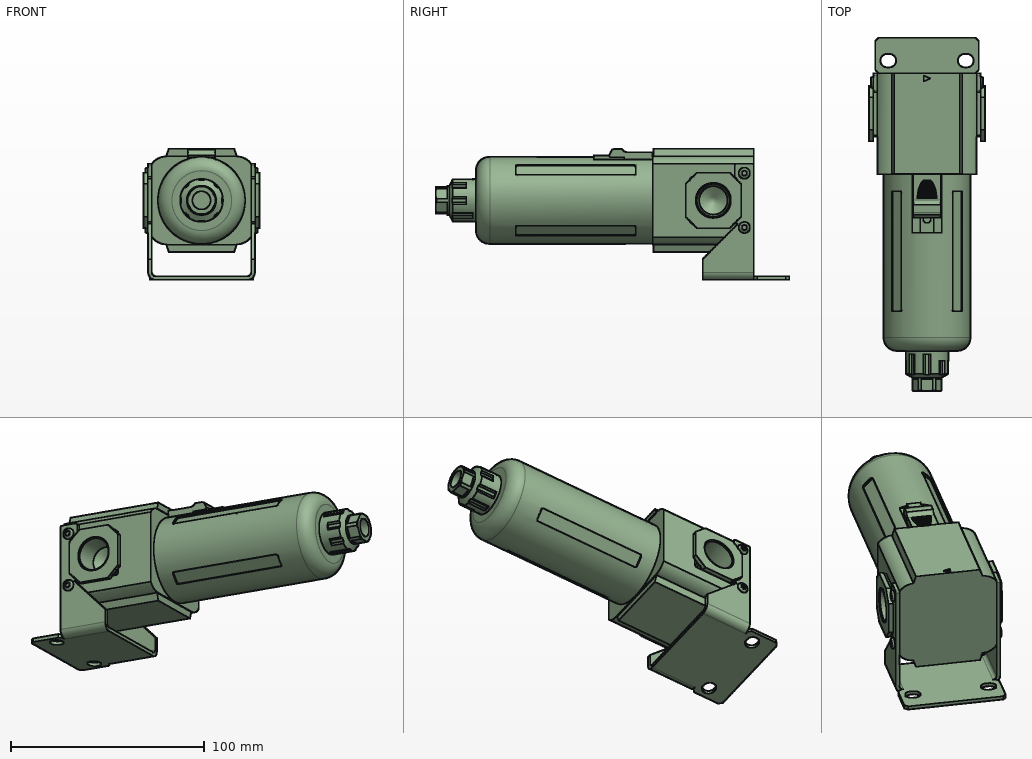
import cadquery as cq
import math


MARGIN = 1.0

HOUSING_LENGTH = 52.2
HOUSING_HALF_WIDTH = 25.6
HOUSING_HALF_HEIGHT = 22.75
SHOULDER_X = 18.0
SHOULDER_Z = 18.9
PAD_SETBACK = 0.4
PAD_HALF_HEIGHT = 26.65
PAD_ROOT_HALF_WIDTH = 18.25
PAD_TOP_HALF_WIDTH = 16.9
ARROW_DEPTH = 0.3
ARROW_HALF_WIDTH = 1.5
ARROW_LENGTH = 3.5
ARROW_Y = -2.8

PORT_Y = -20.85
PORT_FACE_X = 30.0
PORT_SIZE = 28.7
PORT_CHAMFER = 5.9
PORT_NECK_SIZE = 24.2
PORT_NECK_CHAMFER = 1.0
BORE_MOUTH_RADIUS = 9.1
BORE_RADIUS = 8.5
BORE_FLOOR_RADIUS = 7.3
BORE_DEPTH = 13.0
DRILL_CONE_DEPTH = 4.4

SHEET = 2.0
BRACKET_HALF_WIDTH = HOUSING_HALF_WIDTH + SHEET
BRACKET_BOTTOM_Z = -41.05
BRACKET_TOP_Z = 19.0
BRACKET_LENGTH = 26.4
BEND_INNER_RADIUS = 2.0
BEND_OUTER_RADIUS = BEND_INNER_RADIUS + SHEET
ARM_TOP_LENGTH = 9.9
ARM_SLOPE_START = (-8.2, -12.1)
ARM_SLOPE_END_Z = -30.3
ARM_CORNER_RADIUS = 1.0
TAB_REACH = 18.3
TAB_HALF_WIDTH = 26.75
TAB_CHAMFER = 1.7
TAB_HOLE_X = 20.0
TAB_HOLE_Y = 6.4
TAB_HOLE_LENGTH = 8.0
TAB_HOLE_WIDTH = 6.8

SCREW_Y = -4.85
SCREW_Z = 14.0
SCREW_HEAD_RADIUS = 2.9
SCREW_HEAD_HEIGHT = 1.4
SCREW_HEAD_ROUND = 1.0
SCREW_SHANK_RADIUS = 2.0
SCREW_SHANK_LENGTH = SHEET + 4.0
SOCKET_SIZE = 2.8
SOCKET_DEPTH = 0.8

BOWL_RADIUS = 22.52
BOWL_END_Y = -143.35
BOWL_END_ROUND = 7.1
WINDOW_START_Y = -60.9
WINDOW_END_Y = -122.7
WINDOW_WIDTH = 7.2
WINDOW_FLOOR = 21.5
WINDOW_CORNER = 0.8
SEAT_HALF_WIDTH = 7.5
SEAT_Z = 20.95
SEAT_END_Y = -82.4
CATCH_HALF_WIDTH = 3.6
CATCH_TOP_Z = 23.2
NOTCH_RADIUS = 2.0
NOTCH_Y = -75.3

LATCH_HALF_WIDTH = 7.0
LATCH_TOP_Z = 24.9
LATCH_STEP_Y = -66.8
LATCH_STEP_Z = 22.2
HUMP_RAMP_START_Y = -65.2
HUMP_TOP_START_Y = -68.0
HUMP_TOP_END_Y = -71.8
HUMP_TOP_Z = 26.55
HUMP_EDGE = (-73.1, 26.2)
HUMP_NOSE = (-74.7, CATCH_TOP_Z)
HUMP_HEEL_Y = -74.0
GRIP_START_Y = -54.7
GRIP_HALF_WIDTH = 5.0
GRIP_DEPTH = 0.4
GRIP_GROOVE = 0.45
GRIP_PITCH = 0.9

DRAIN_RADIUS = 11.1
DRAIN_CONE_START_Y = -155.1
DRAIN_CONE_END_Y = -157.0
NIPPLE_RADIUS = 7.6
NIPPLE_END_Y = -164.0
NIPPLE_EDGE = 0.4
NIPPLE_FLATS = 14.0
FLATS_START_Y = -158.0
DRAIN_BORE_RADIUS = 4.7
DRAIN_BORE_DEPTH = 8.0
RIB_SLOT_FLOOR = 10.4
RIB_SLOT_FLOOR_HALF_WIDTH = 0.9
RIB_SLOT_HALF_WIDTH = 2.3
LONG_SLOT_START_Y = -144.9
SHORT_SLOT_START_Y = -148.3
SLOT_ANGLES_LONG = (90, 135, 270, 315)
SLOT_ANGLES_SHORT = (0, 45, 180, 225)


def box(x0, x1, y0, y1, z0, z1):
    """Box between opposite corners."""
    return cq.Workplane("XY").box(x1 - x0, y1 - y0, z1 - z0, centered=False).translate((x0, y0, z0))


def along_x(points, x0, x1):
    """Prism from a closed (Y, Z) outline, between two X positions."""
    return cq.Workplane("YZ", origin=(x0, 0, 0)).polyline(points).close().extrude(x1 - x0)


def both_sides(body):
    """A feature together with its mirror image on the other X side."""
    return body.union(body.mirror("YZ"))


def square_plate(size, chamfer, x0, x1):
    """Square plate with cut corners, centred on the port axis and lying between two X positions."""
    return (
        cq.Workplane("YZ", origin=(x0, PORT_Y, 0))
        .rect(size, size)
        .extrude(x1 - x0)
        .edges("|X")
        .chamfer(chamfer)
    )


def screw_places():
    """Each screw as (side, Z), side being +1 or -1 along X."""
    return [(side, z) for side in (1, -1) for z in (SCREW_Z, -SCREW_Z)]


def screw_shank(side, z):
    start = cq.Vector(side * BRACKET_HALF_WIDTH, SCREW_Y, z)
    return cq.Workplane(
        cq.Solid.makeCylinder(SCREW_SHANK_RADIUS, SCREW_SHANK_LENGTH, start, cq.Vector(-side, 0, 0))
    )


def port_bore():
    """Bore with a bevelled mouth, a taper and a drilled cone at its floor, on the +X side."""
    bevel = BORE_MOUTH_RADIUS - BORE_RADIUS
    floor_x = PORT_FACE_X - BORE_DEPTH
    return (
        cq.Workplane("XY", origin=(0, PORT_Y, 0))
        .moveTo(PORT_FACE_X, 0)
        .lineTo(PORT_FACE_X, BORE_MOUTH_RADIUS)
        .lineTo(PORT_FACE_X - bevel, BORE_RADIUS)
        .lineTo(floor_x, BORE_FLOOR_RADIUS)
        .lineTo(floor_x - DRILL_CONE_DEPTH, 0)
        .close()
        .revolve(360, (0, 0, 0), (1, 0, 0))
    )


def flow_arrow():
    """Small triangle pointing to +X, sunk into the top pad."""
    return (
        cq.Workplane("XY", origin=(0, 0, PAD_HALF_HEIGHT))
        .moveTo(-ARROW_LENGTH / 2, ARROW_Y - ARROW_HALF_WIDTH)
        .lineTo(ARROW_LENGTH / 2, ARROW_Y)
        .lineTo(-ARROW_LENGTH / 2, ARROW_Y + ARROW_HALF_WIDTH)
        .close()
        .extrude(-ARROW_DEPTH)
    )


def make_housing():
    run = HOUSING_HALF_WIDTH - SHOULDER_X
    drop = HOUSING_HALF_HEIGHT - SHOULDER_Z
    radius = (run**2 + drop**2) / (2 * drop)
    half_angle = math.asin(run / radius) / 2
    mid_x = SHOULDER_X + radius * math.sin(half_angle)
    mid_z = HOUSING_HALF_HEIGHT - radius * (1 - math.cos(half_angle))

    quarter = (
        cq.Workplane("XZ")
        .lineTo(0, HOUSING_HALF_HEIGHT)
        .lineTo(SHOULDER_X, HOUSING_HALF_HEIGHT)
        .threePointArc((mid_x, mid_z), (HOUSING_HALF_WIDTH, SHOULDER_Z))
        .lineTo(HOUSING_HALF_WIDTH, 0)
        .close()
        .extrude(HOUSING_LENGTH)
    )
    half = both_sides(quarter)
    block = half.union(half.mirror("XY"))

    pad = (
        cq.Workplane("XZ")
        .moveTo(-PAD_ROOT_HALF_WIDTH, 0)
        .lineTo(-PAD_ROOT_HALF_WIDTH, HOUSING_HALF_HEIGHT)
        .lineTo(-PAD_TOP_HALF_WIDTH, PAD_HALF_HEIGHT)
        .lineTo(PAD_TOP_HALF_WIDTH, PAD_HALF_HEIGHT)
        .lineTo(PAD_ROOT_HALF_WIDTH, HOUSING_HALF_HEIGHT)
        .lineTo(PAD_ROOT_HALF_WIDTH, 0)
        .close()
        .extrude(HOUSING_LENGTH - PAD_SETBACK)
    )
    block = block.union(pad).union(pad.mirror("XY")).cut(flow_arrow())

    port = square_plate(PORT_NECK_SIZE, PORT_NECK_CHAMFER, HOUSING_HALF_WIDTH - MARGIN, BRACKET_HALF_WIDTH)
    port = port.union(square_plate(PORT_SIZE, PORT_CHAMFER, BRACKET_HALF_WIDTH, PORT_FACE_X))
    block = block.union(both_sides(port)).cut(both_sides(port_bore()))

    for place in screw_places():
        block = block.cut(screw_shank(*place))
    return block


def bracket_channel():
    """U-shaped channel: two arms and a floor joined by round bends."""
    outer = (
        box(-BRACKET_HALF_WIDTH, BRACKET_HALF_WIDTH, -BRACKET_LENGTH, 0, BRACKET_BOTTOM_Z, BRACKET_TOP_Z)
        .edges("|Y and <Z")
        .fillet(BEND_OUTER_RADIUS)
    )
    inner = (
        box(
            -HOUSING_HALF_WIDTH, HOUSING_HALF_WIDTH,
            -BRACKET_LENGTH, 0,
            BRACKET_BOTTOM_Z + SHEET, BRACKET_TOP_Z,
        )
        .edges("|Y and <Z")
        .fillet(BEND_INNER_RADIUS)
    )
    return outer.cut(inner)


def arm_outline():
    """Side shape of the arms, as a bar across the whole bracket width."""
    slope_y, slope_z = ARM_SLOPE_START
    bar = along_x(
        [
            (0, BRACKET_BOTTOM_Z),
            (0, BRACKET_TOP_Z),
            (-ARM_TOP_LENGTH, BRACKET_TOP_Z),
            (-ARM_TOP_LENGTH, slope_z),
            (slope_y, slope_z),
            (-BRACKET_LENGTH, ARM_SLOPE_END_Z),
            (-BRACKET_LENGTH, BRACKET_BOTTOM_Z),
        ],
        -BRACKET_HALF_WIDTH,
        BRACKET_HALF_WIDTH,
    )
    return bar.edges("|X and >Z").fillet(ARM_CORNER_RADIUS)


def mounting_tab():
    """Rear tab with cut corners and two oblong holes."""
    tab = (
        box(-TAB_HALF_WIDTH, TAB_HALF_WIDTH, 0, TAB_REACH, BRACKET_BOTTOM_Z, BRACKET_BOTTOM_Z + SHEET)
        .edges("|Z")
        .chamfer(TAB_CHAMFER)
    )
    holes = (
        cq.Workplane("XY", origin=(0, TAB_HOLE_Y, BRACKET_BOTTOM_Z))
        .pushPoints([(-TAB_HOLE_X, 0), (TAB_HOLE_X, 0)])
        .slot2D(TAB_HOLE_LENGTH, TAB_HOLE_WIDTH)
        .extrude(SHEET)
    )
    return tab.cut(holes)


def make_bracket():
    bracket = bracket_channel().intersect(arm_outline()).union(mounting_tab())
    neck = square_plate(PORT_NECK_SIZE, PORT_NECK_CHAMFER, HOUSING_HALF_WIDTH, BRACKET_HALF_WIDTH)
    bracket = bracket.cut(both_sides(neck))
    for place in screw_places():
        bracket = bracket.cut(screw_shank(*place))
    return bracket


def make_screw(side, z):
    """Button-head screw with a hexagon socket, its axis along X."""
    seat = cq.Plane(origin=(side * BRACKET_HALF_WIDTH, SCREW_Y, z), xDir=(0, 0, 1), normal=(side, 0, 0))
    head = (
        cq.Workplane(seat)
        .circle(SCREW_HEAD_RADIUS)
        .extrude(SCREW_HEAD_HEIGHT)
        .faces(">X" if side > 0 else "<X")
        .edges()
        .fillet(SCREW_HEAD_ROUND)
    )
    socket = (
        cq.Workplane(seat)
        .workplane(offset=SCREW_HEAD_HEIGHT)
        .polygon(6, SOCKET_SIZE)
        .extrude(-SOCKET_DEPTH)
    )
    return head.cut(socket).union(screw_shank(side, z))


def make_bowl():
    bowl = (
        cq.Workplane("XZ", origin=(0, -HOUSING_LENGTH, 0))
        .circle(BOWL_RADIUS)
        .extrude(-HOUSING_LENGTH - BOWL_END_Y)
        .faces("<Y")
        .edges()
        .fillet(BOWL_END_ROUND)
    )

    window = (
        box(
            -WINDOW_WIDTH / 2, WINDOW_WIDTH / 2,
            WINDOW_END_Y, WINDOW_START_Y,
            WINDOW_FLOOR, BOWL_RADIUS + MARGIN,
        )
        .edges("|Z")
        .fillet(WINDOW_CORNER)
    )
    for angle in (45, 135, 225, 315):
        bowl = bowl.cut(window.rotate((0, 0, 0), (0, 1, 0), angle))

    seat = box(-SEAT_HALF_WIDTH, SEAT_HALF_WIDTH, SEAT_END_Y, -HOUSING_LENGTH, SEAT_Z, BOWL_RADIUS + MARGIN)
    catch = along_x(
        [
            (LATCH_STEP_Y, SEAT_Z),
            (LATCH_STEP_Y, LATCH_STEP_Z),
            (HUMP_HEEL_Y, LATCH_STEP_Z),
            HUMP_NOSE,
            (SEAT_END_Y, CATCH_TOP_Z),
            (SEAT_END_Y, SEAT_Z),
        ],
        -CATCH_HALF_WIDTH,
        CATCH_HALF_WIDTH,
    )
    notch = (
        cq.Workplane("XY", origin=(0, NOTCH_Y, LATCH_STEP_Z))
        .circle(NOTCH_RADIUS)
        .extrude(CATCH_TOP_Z - LATCH_STEP_Z)
    )
    return bowl.cut(seat).union(catch.cut(notch))


def thumb_grip():
    """Cross grooves clipped to a half ellipse that widens toward the hump."""
    length = GRIP_START_Y - HUMP_RAMP_START_Y
    area = (
        cq.Workplane("XY", origin=(0, HUMP_RAMP_START_Y, LATCH_TOP_Z))
        .ellipse(GRIP_HALF_WIDTH, length)
        .extrude(-GRIP_DEPTH)
    )
    count = math.floor(length / GRIP_PITCH)
    grooves = (
        cq.Workplane("XY", origin=(0, HUMP_RAMP_START_Y + length / 2, LATCH_TOP_Z))
        .rarray(1, GRIP_PITCH, 1, count)
        .rect(2 * GRIP_HALF_WIDTH, GRIP_GROOVE)
        .extrude(-GRIP_DEPTH)
    )
    return grooves.intersect(area)


def make_latch():
    run = HUMP_RAMP_START_Y - HUMP_TOP_START_Y
    rise = HUMP_TOP_Z - LATCH_TOP_Z
    radius = (run**2 + rise**2) / (2 * rise)
    half_angle = math.asin(run / radius) / 2
    ramp_mid = (
        HUMP_RAMP_START_Y - radius * math.sin(half_angle),
        LATCH_TOP_Z + radius * (1 - math.cos(half_angle)),
    )
    latch = (
        cq.Workplane("YZ", origin=(-LATCH_HALF_WIDTH, 0, 0))
        .moveTo(-HOUSING_LENGTH, SEAT_Z)
        .lineTo(-HOUSING_LENGTH, LATCH_TOP_Z)
        .lineTo(HUMP_RAMP_START_Y, LATCH_TOP_Z)
        .threePointArc(ramp_mid, (HUMP_TOP_START_Y, HUMP_TOP_Z))
        .lineTo(HUMP_TOP_END_Y, HUMP_TOP_Z)
        .lineTo(*HUMP_EDGE)
        .lineTo(*HUMP_NOSE)
        .lineTo(HUMP_HEEL_Y, LATCH_STEP_Z)
        .lineTo(LATCH_STEP_Y, LATCH_STEP_Z)
        .lineTo(LATCH_STEP_Y, SEAT_Z)
        .close()
        .extrude(2 * LATCH_HALF_WIDTH)
    )
    return latch.cut(thumb_grip())


def rib_slot(start_y):
    """Grip slot with sloping sides, running from start_y off the front of the drain knob, on its +X side."""
    return (
        cq.Workplane("XZ", origin=(0, start_y, 0))
        .moveTo(RIB_SLOT_FLOOR, -RIB_SLOT_FLOOR_HALF_WIDTH)
        .lineTo(RIB_SLOT_FLOOR, RIB_SLOT_FLOOR_HALF_WIDTH)
        .lineTo(DRAIN_RADIUS, RIB_SLOT_HALF_WIDTH)
        .lineTo(DRAIN_RADIUS, -RIB_SLOT_HALF_WIDTH)
        .close()
        .extrude(start_y - DRAIN_CONE_END_Y)
    )


def make_drain():
    drain = (
        cq.Workplane("XY")
        .moveTo(0, BOWL_END_Y)
        .lineTo(DRAIN_RADIUS, BOWL_END_Y)
        .lineTo(DRAIN_RADIUS, DRAIN_CONE_START_Y)
        .lineTo(NIPPLE_RADIUS, DRAIN_CONE_END_Y)
        .lineTo(NIPPLE_RADIUS, NIPPLE_END_Y + NIPPLE_EDGE)
        .lineTo(NIPPLE_RADIUS - NIPPLE_EDGE, NIPPLE_END_Y)
        .lineTo(0, NIPPLE_END_Y)
        .close()
        .revolve(360, (0, 0, 0), (0, 1, 0))
    )

    bore = (
        cq.Workplane("XZ", origin=(0, NIPPLE_END_Y + DRAIN_BORE_DEPTH, 0))
        .circle(DRAIN_BORE_RADIUS)
        .extrude(DRAIN_BORE_DEPTH)
    )
    drain = drain.cut(bore)

    for start_y, angles in ((LONG_SLOT_START_Y, SLOT_ANGLES_LONG), (SHORT_SLOT_START_Y, SLOT_ANGLES_SHORT)):
        for angle in angles:
            drain = drain.cut(rib_slot(start_y).rotate((0, 0, 0), (0, 1, 0), -angle))

    flat_cut = box(
        -NIPPLE_RADIUS, NIPPLE_RADIUS, NIPPLE_END_Y, FLATS_START_Y, NIPPLE_FLATS / 2, NIPPLE_RADIUS + MARGIN
    )
    for index in range(6):
        drain = drain.cut(flat_cut.rotate((0, 0, 0), (0, 1, 0), index * 60))
    return drain


housing = make_housing()
bracket = make_bracket()
bowl = make_bowl()
latch = make_latch()
drain = make_drain()
screws = [make_screw(side, z) for side, z in screw_places()]

result = cq.Compound.makeCompound(
    [
        housing.solids().val(),
        bracket.solids().val(),
        bowl.solids().val(),
        latch.solids().val(),
        drain.solids().val(),
        *[screw.solids().val() for screw in screws],
    ]
)